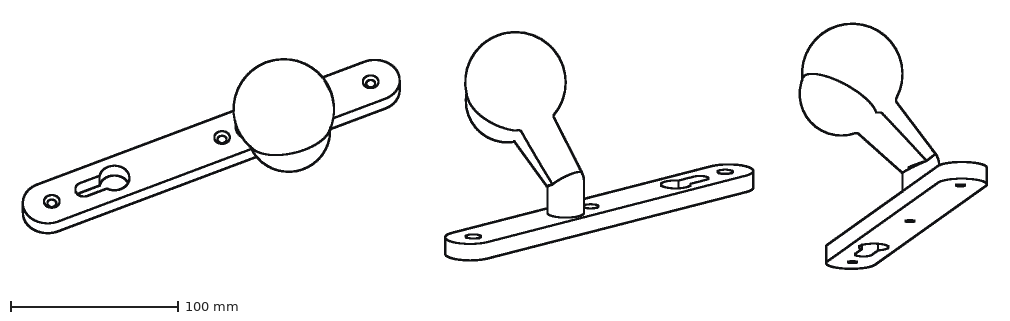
import cadquery as cq
import math

overall_height = 112.7
overall_width = 90.0

plate_length = 245.0
plate_width = 30.0
plate_thickness = 10.3

screw_hole_diameter = 5.5
countersink_diameter = 9.3
countersink_angle = 90.0
screw_hole_ys = [104.9, 7.0, -104.9]

keyhole_diameter = 18.0
keyhole_y = -63.7
keyhole_slot_width = 10.3
keyhole_slot_end_y = -83.8

stem_radius = 11.0
stem_y = 28.0
elbow_z = 30.0

neck_radius = stem_radius

large_ball_radius = 30.1
large_ball_x = 43.0
large_ball_z = overall_height - large_ball_radius
large_neck_fillet = 2.5

small_ball_radius = 25.0
small_ball_x = overall_width - plate_width / 2 - small_ball_radius
small_ball_z = 69.8
small_neck_fillet = 2.0


def make_plate():
    bar = cq.Workplane("XY").slot2D(plate_length, plate_width, 90).extrude(plate_thickness)
    screw_holes = [(0, y) for y in screw_hole_ys]
    bar = (
        bar.faces(">Z").workplane(origin=(0, 0, plate_thickness))
        .pushPoints(screw_holes)
        .cskHole(screw_hole_diameter, countersink_diameter, countersink_angle)
    )
    slot_length = keyhole_y - keyhole_slot_end_y
    keyhole_round = (
        cq.Workplane("XY").center(0, keyhole_y).circle(keyhole_diameter / 2).extrude(plate_thickness)
    )
    keyhole_slot = (
        cq.Workplane("XY")
        .center(0, (keyhole_y + keyhole_slot_end_y) / 2)
        .slot2D(slot_length + keyhole_slot_width, keyhole_slot_width, 90)
        .extrude(plate_thickness)
    )
    return bar.cut(keyhole_round).cut(keyhole_slot)


def make_stem():
    """Revolve the half outline of the bar and its dome about the upright axis."""
    straight_height = elbow_z - plate_thickness
    dome_mid = stem_radius * math.sqrt(0.5)
    return (
        cq.Workplane("XZ", origin=(0, stem_y, plate_thickness))
        .lineTo(stem_radius, 0)
        .lineTo(stem_radius, straight_height)
        .threePointArc((dome_mid, straight_height + dome_mid), (0, straight_height + stem_radius))
        .close()
        .revolve(360, (0, 0), (0, 1))
    )


def make_knob(ball_x, ball_z, ball_radius, neck_fillet):
    """Revolve neck, fillet and ball about the line from the elbow to the ball centre."""
    ball_distance = math.hypot(ball_x, ball_z - elbow_z)

    fillet_r = neck_radius + neck_fillet
    fillet_drop = math.sqrt((ball_radius + neck_fillet) ** 2 - fillet_r ** 2)
    fillet_height = ball_distance - fillet_drop
    touch_share = ball_radius / (ball_radius + neck_fillet)
    ball_touch = (fillet_r * touch_share, ball_distance - fillet_drop * touch_share)
    mid_angle = math.atan2(fillet_drop, -fillet_r) / 2 + math.pi / 2
    fillet_mid = (
        fillet_r + neck_fillet * math.cos(mid_angle),
        fillet_height + neck_fillet * math.sin(mid_angle),
    )

    axis = cq.Vector(ball_x, 0, ball_z - elbow_z)
    across = cq.Vector(0, 1, 0)
    profile_plane = cq.Plane(
        origin=(0, stem_y, elbow_z), xDir=across, normal=across.cross(axis)
    )
    return (
        cq.Workplane(profile_plane)
        .lineTo(neck_radius, 0)
        .lineTo(neck_radius, fillet_height)
        .threePointArc(fillet_mid, ball_touch)
        .threePointArc((ball_radius, ball_distance), (0, ball_distance + ball_radius))
        .close()
        .revolve(360, (0, 0), (0, 1))
    )


plate = make_plate()
stem = make_stem()

large_knob = make_knob(large_ball_x, large_ball_z, large_ball_radius, large_neck_fillet).cut(stem)
small_knob = (
    make_knob(small_ball_x, small_ball_z, small_ball_radius, small_neck_fillet)
    .cut(stem)
    .cut(large_knob)
)

bodies = [plate, stem, large_knob, small_knob]
result = cq.Compound.makeCompound([body.solids().val() for body in bodies])